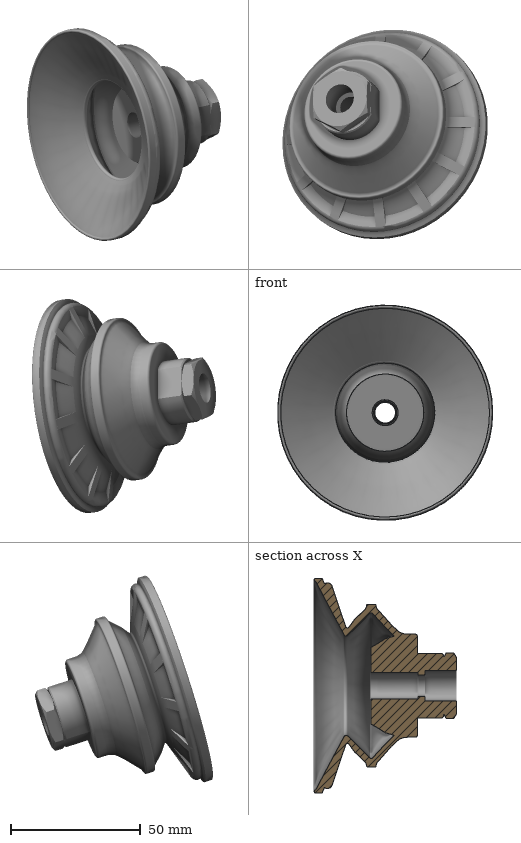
import math
import cadquery as cq

TOTAL_LENGTH = 55.0

RIM_RADIUS = 83.0 / 2
RIM_BAND_TOP = 3.2
RIM_CHAMFER = 0.9
RIM_EDGE_FILLET = 0.6
LIP_MOUTH_RADIUS = 40.25

BEAD_BOTTOM = RIM_BAND_TOP + RIM_CHAMFER
BEAD_TOP = 7.1
BEAD_ARC_RADIUS = 2.0
BEAD_CENTER_RADIUS = 37.75
BEAD_EDGE_RADIUS = 38.35

RIB_COUNT = 12
RIB_WIDTH = 4.0
RIB_START_RADIUS = 26.4
RIB_START_Y = 11.1
RIB_ROOT_RADIUS = 34.3
RIB_EMBED = 0.5

WAIST_RADIUS = 22.6
WAIST_BOTTOM = 12.45
WAIST_TOP = 13.4
WAIST_GROOVE_DEPTH = 0.25
WAIST_BORE_RADIUS = 19.1
WAIST_BORE_Y = 12.3
WAIST_BORE_END_RADIUS = 19.4
WAIST_BORE_END_Y = 13.1
MOUTH_EDGE_RADIUS = 19.9
MOUTH_EDGE_Y = 11.4

LOWER_FOLD_RADIUS = 25.6
LOWER_FOLD_Y = 15.6
RING_RADIUS = 63.0 / 2
RING_BOTTOM = 20.15
RING_TOP = 24.1
RING_FILLET = 0.7
FOLD_RADIUS = 29.4
FOLD_BLEND_HEIGHT = 0.6
FOLD_CREST_RADIUS = 28.0
FOLD_CREST_BOTTOM = 21.7
FOLD_CREST_TOP = 22.4
UPPER_FOLD_SAG = 0.2

COLLAR_RADIUS = 40.0 / 2
COLLAR_TOP = 40.0
COLLAR_BOTTOM = 36.1
COLLAR_EDGE_FILLET = 1.0
SHOULDER_RADIUS = 20.9
SHOULDER_Y = 32.7
SHOULDER_BULGE = 0.25

PLUG_FACE_RADIUS = 14.9
PLUG_FACE_Y = 22.0
PLUG_FLANK_RADIUS = 18.25
PLUG_FLANK_Y = 27.5
CAVITY_END_RADIUS = 19.2
CAVITY_END_Y = 30.8

STEM_DIAMETER = 25.0
STEM_CHAMFER = 0.5
ACROSS_FLATS = 22.0
HEX_HEIGHT = 5.0
HEX_CHAMFER_ANGLE = 30.0
HEX_TURN = 30.0
HEX_BOTTOM = TOTAL_LENGTH - HEX_HEIGHT

PASSAGE_DIAMETER = 8.0
INNER_BORE_DIAMETER = 10.0
INNER_BORE_END = 40.0
PASSAGE_CHAMFER = 0.45
THREAD_BORE_DIAMETER = 11.45
THREAD_BORE_DEPTH = 12.0


def revolve_about_y(profile):
    """Turn a closed (radius, y) profile a full round about the Y axis."""
    return profile.close().revolve(360, (0, 0, 0), (0, 1, 0))


def cylinder(radius, start, end):
    """Cylinder along Y between two y positions."""
    return cq.Workplane("XZ", origin=(0, start, 0)).circle(radius).extrude(start - end)


def rounded_corner_mid(radius, y, fillet, inward):
    """Middle of the rounding at an outer corner; inward is the sign of the y step into the body."""
    inset = fillet * (1 - math.sqrt(0.5))
    return (radius - inset, y + inward * inset)


def make_bellows():
    """Rubber body together with the plug inside it, without ribs and bores."""
    bead_edge_offset = BEAD_EDGE_RADIUS - BEAD_CENTER_RADIUS
    bead_arc_y = BEAD_TOP - math.sqrt(BEAD_ARC_RADIUS**2 - bead_edge_offset**2)
    bead_drop = bead_arc_y - BEAD_BOTTOM
    bead_foot_radius = BEAD_CENTER_RADIUS + math.sqrt(BEAD_ARC_RADIUS**2 - bead_drop**2)
    ring_flat_radius = RING_RADIUS - RING_FILLET
    upper_fold_y = RING_TOP + FOLD_BLEND_HEIGHT
    upper_fold_mid = (
        (FOLD_RADIUS + SHOULDER_RADIUS) / 2 - UPPER_FOLD_SAG * math.sqrt(0.5),
        (upper_fold_y + SHOULDER_Y) / 2 - UPPER_FOLD_SAG * math.sqrt(0.5),
    )
    shoulder_mid = (
        COLLAR_RADIUS + (SHOULDER_RADIUS - COLLAR_RADIUS) * SHOULDER_BULGE,
        (COLLAR_BOTTOM + SHOULDER_Y) / 2,
    )
    profile = (
        cq.Workplane("XY")
        .moveTo(0, PLUG_FACE_Y)
        .lineTo(PLUG_FACE_RADIUS, PLUG_FACE_Y)
        .lineTo(PLUG_FLANK_RADIUS, PLUG_FLANK_Y)
        .lineTo(CAVITY_END_RADIUS, CAVITY_END_Y)
        .lineTo(FOLD_CREST_RADIUS, FOLD_CREST_TOP)
        .lineTo(FOLD_CREST_RADIUS, FOLD_CREST_BOTTOM)
        .lineTo(WAIST_BORE_END_RADIUS, WAIST_BORE_END_Y)
        .threePointArc(
            (WAIST_BORE_RADIUS, WAIST_BORE_Y),
            (MOUTH_EDGE_RADIUS, MOUTH_EDGE_Y),
        )
        .lineTo(LIP_MOUTH_RADIUS, RIM_EDGE_FILLET)
        .threePointArc(
            ((LIP_MOUTH_RADIUS + RIM_RADIUS) / 2, 0),
            (RIM_RADIUS, RIM_EDGE_FILLET),
        )
        .lineTo(RIM_RADIUS, RIM_BAND_TOP)
        .lineTo(bead_foot_radius, BEAD_BOTTOM)
        .threePointArc((BEAD_CENTER_RADIUS + BEAD_ARC_RADIUS, bead_arc_y), (BEAD_EDGE_RADIUS, BEAD_TOP))
        .lineTo(RIB_ROOT_RADIUS, BEAD_TOP)
        .lineTo(RIB_START_RADIUS, RIB_START_Y)
        .lineTo(WAIST_RADIUS, WAIST_BOTTOM)
        .threePointArc(
            (WAIST_RADIUS - WAIST_GROOVE_DEPTH, (WAIST_BOTTOM + WAIST_TOP) / 2),
            (WAIST_RADIUS, WAIST_TOP),
        )
        .lineTo(LOWER_FOLD_RADIUS, LOWER_FOLD_Y)
        .lineTo(FOLD_RADIUS, RING_BOTTOM - FOLD_BLEND_HEIGHT)
        .tangentArcPoint((ring_flat_radius, RING_BOTTOM), relative=False)
        .threePointArc(
            rounded_corner_mid(RING_RADIUS, RING_BOTTOM, RING_FILLET, 1),
            (RING_RADIUS, RING_BOTTOM + RING_FILLET),
        )
        .lineTo(RING_RADIUS, RING_TOP - RING_FILLET)
        .threePointArc(
            rounded_corner_mid(RING_RADIUS, RING_TOP, RING_FILLET, -1),
            (ring_flat_radius, RING_TOP),
        )
        .tangentArcPoint((FOLD_RADIUS, upper_fold_y), relative=False)
        .threePointArc(upper_fold_mid, (SHOULDER_RADIUS, SHOULDER_Y))
        .threePointArc(shoulder_mid, (COLLAR_RADIUS, COLLAR_BOTTOM))
        .lineTo(COLLAR_RADIUS, COLLAR_TOP - COLLAR_EDGE_FILLET)
        .threePointArc(
            rounded_corner_mid(COLLAR_RADIUS, COLLAR_TOP, COLLAR_EDGE_FILLET, -1),
            (COLLAR_RADIUS - COLLAR_EDGE_FILLET, COLLAR_TOP),
        )
        .lineTo(0, COLLAR_TOP)
    )
    return revolve_about_y(profile)


def make_ribs():
    """Ring of ribs, each rising from the waist cone out to the top of the bead."""
    rib = (
        cq.Workplane("XY")
        .moveTo(RIB_START_RADIUS, RIB_START_Y)
        .lineTo(BEAD_EDGE_RADIUS, BEAD_TOP)
        .lineTo(BEAD_EDGE_RADIUS, BEAD_TOP - RIB_EMBED)
        .lineTo(RIB_ROOT_RADIUS, BEAD_TOP - RIB_EMBED)
        .close()
        .extrude(RIB_WIDTH / 2, both=True)
    )
    ribs = rib
    for index in range(1, RIB_COUNT):
        ribs = ribs.union(rib.rotate((0, 0, 0), (0, 1, 0), index * 360 / RIB_COUNT))
    return ribs


def make_stem():
    """Round stem with two flats facing +X and -X."""
    stem = cylinder(STEM_DIAMETER / 2, SHOULDER_Y, HEX_BOTTOM)
    stem = stem.faces(">Y").chamfer(STEM_CHAMFER)
    flats = cq.Workplane("XY").box(ACROSS_FLATS, 2 * TOTAL_LENGTH, STEM_DIAMETER)
    return stem.intersect(flats)


def make_hex_head():
    """Hexagon head with its corners chamfered at both ends and flats on +X and -X."""
    corner_radius = ACROSS_FLATS / math.sqrt(3)
    edge_radius = ACROSS_FLATS / 2
    chamfer_height = (corner_radius - edge_radius) * math.tan(math.radians(HEX_CHAMFER_ANGLE))
    prism = (
        cq.Workplane("XZ", origin=(0, HEX_BOTTOM, 0))
        .polygon(6, 2 * corner_radius)
        .extrude(-HEX_HEIGHT)
        .rotate((0, 0, 0), (0, 1, 0), HEX_TURN)
    )
    envelope = revolve_about_y(
        cq.Workplane("XY")
        .moveTo(0, HEX_BOTTOM)
        .lineTo(edge_radius, HEX_BOTTOM)
        .lineTo(corner_radius, HEX_BOTTOM + chamfer_height)
        .lineTo(corner_radius, TOTAL_LENGTH - chamfer_height)
        .lineTo(edge_radius, TOTAL_LENGTH)
        .lineTo(0, TOTAL_LENGTH)
    )
    return prism.intersect(envelope)


def make_bores():
    """Inner bore, chamfered narrow passage and threaded bore as one cutter."""
    passage_radius = PASSAGE_DIAMETER / 2
    thread_start = TOTAL_LENGTH - THREAD_BORE_DEPTH
    return revolve_about_y(
        cq.Workplane("XY")
        .moveTo(0, PLUG_FACE_Y)
        .lineTo(INNER_BORE_DIAMETER / 2, PLUG_FACE_Y)
        .lineTo(INNER_BORE_DIAMETER / 2, INNER_BORE_END)
        .lineTo(passage_radius + PASSAGE_CHAMFER, INNER_BORE_END)
        .lineTo(passage_radius, INNER_BORE_END + PASSAGE_CHAMFER)
        .lineTo(passage_radius, thread_start)
        .lineTo(THREAD_BORE_DIAMETER / 2, thread_start)
        .lineTo(THREAD_BORE_DIAMETER / 2, TOTAL_LENGTH)
        .lineTo(0, TOTAL_LENGTH)
    )


bellows = make_bellows().union(make_ribs())
fitting = make_stem().union(make_hex_head())
result = bellows.union(fitting).cut(make_bores())